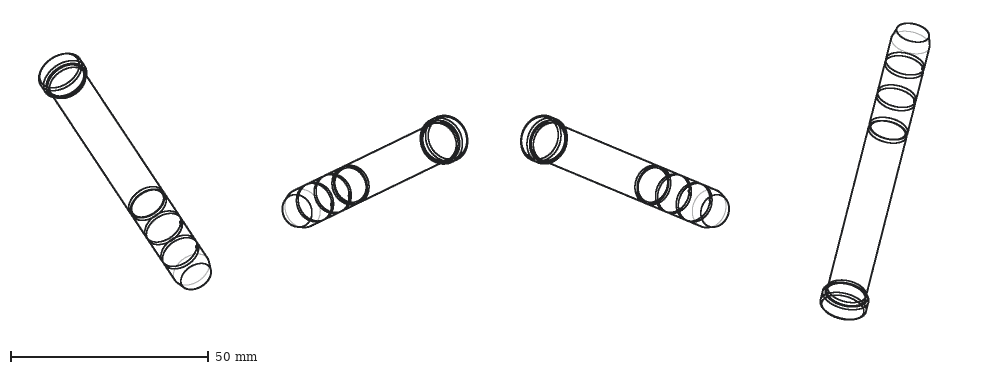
import cadquery as cq
import math

length = 85.0
head_diameter = 12.0
shaft_diameter = 10.0
head_thickness = 4.0
head_chamfer = 0.5
taper_length = 3.0
taper_angle = 15.0

groove_radius = 0.5
ring_groove_count = 3
ring_groove_pitch = 10.0
first_ring_groove_start = 54.3

head_radius = head_diameter / 2
shaft_radius = shaft_diameter / 2
tip_radius = shaft_radius - taper_length * math.tan(math.radians(taper_angle))


def make_head():
    """Flat round head with both rims chamfered."""
    head = cq.Workplane("YZ").circle(head_radius).extrude(head_thickness)
    return head.edges().chamfer(head_chamfer)


def make_shaft():
    """Cylindrical shaft running through the head and ending in a tapered tip."""
    profile = (
        cq.Workplane("XY")
        .lineTo(0, shaft_radius)
        .lineTo(length - taper_length, shaft_radius)
        .lineTo(length, tip_radius)
        .lineTo(length, 0)
        .close()
    )
    return profile.revolve(360, (0, 0, 0), (1, 0, 0))


def make_groove(start):
    """Semicircular ring of material whose head-side rim lies at start."""
    profile = cq.Workplane("XY").center(start + groove_radius, shaft_radius).circle(groove_radius)
    axis_offset = -shaft_radius
    return profile.revolve(360, (0, axis_offset, 0), (1, axis_offset, 0))


ring_groove_starts = [
    first_ring_groove_start + i * ring_groove_pitch for i in range(ring_groove_count)
]
grooved_shaft = make_shaft()
for groove_start in [head_thickness] + ring_groove_starts:
    grooved_shaft = grooved_shaft.cut(make_groove(groove_start))

result = make_head().union(grooved_shaft)